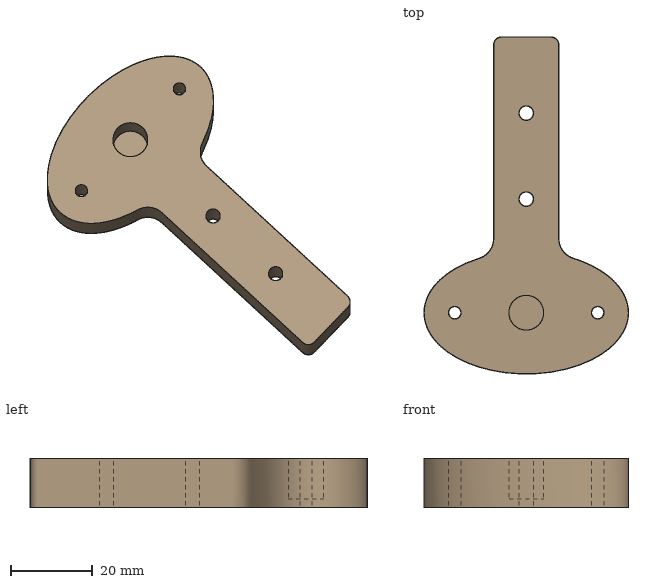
import cadquery as cq

length = 82.4
head_width = 50.0
head_depth = 30.0
thickness = 12.0

arm_width = 16.0
arm_end = length - head_depth / 2
tip_radius = 2.0
neck_radius = 5.0

arm_hole_diameter = 3.5
arm_hole_positions = (27.75, 48.8)
head_hole_diameter = 3.0
head_hole_offset = 17.5
socket_diameter = 8.5
socket_depth = 10.0


def make_body():
    """Elliptical head blended into a straight arm along +Y."""
    head = cq.Workplane("XY").ellipse(head_width / 2, head_depth / 2).extrude(thickness)
    arm = (
        cq.Workplane("XY")
        .center(0, arm_end / 2)
        .rect(arm_width, arm_end)
        .extrude(thickness)
        .edges("|Z and >Y")
        .fillet(tip_radius)
    )
    neck_zone = cq.selectors.BoxSelector(
        (-arm_width, 0, thickness / 4),
        (arm_width, head_depth / 2, thickness * 3 / 4),
    )
    return head.union(arm).edges(neck_zone).fillet(neck_radius)


def cut_holes(body):
    """Through holes in the arm and head, and a blind socket at the head centre."""
    top = body.faces(">Z").workplane(origin=(0, 0, thickness))
    body = top.pushPoints([(0, y) for y in arm_hole_positions]).hole(arm_hole_diameter)

    top = body.faces(">Z").workplane(origin=(0, 0, thickness))
    head_points = [(-head_hole_offset, 0), (head_hole_offset, 0)]
    body = top.pushPoints(head_points).hole(head_hole_diameter)

    top = body.faces(">Z").workplane(origin=(0, 0, thickness))
    return top.hole(socket_diameter, socket_depth)


result = cut_holes(make_body())